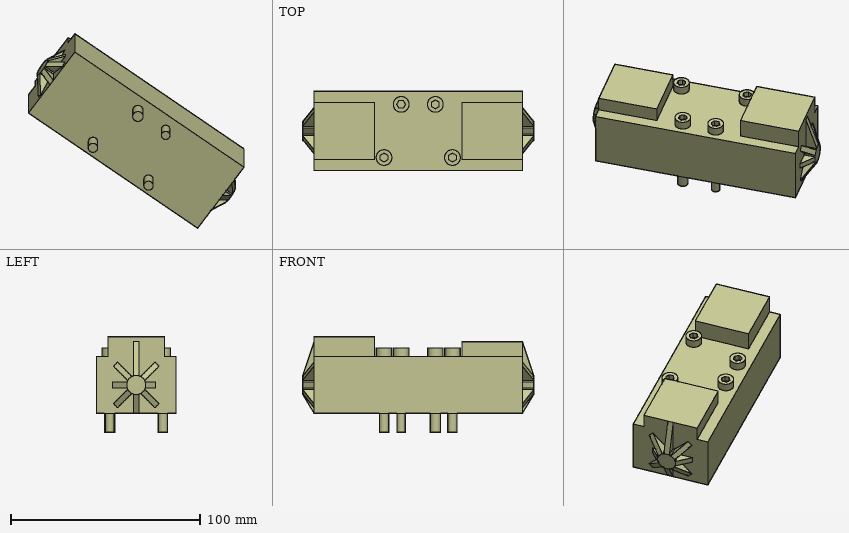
import cadquery as cq
import math

overall_length = 122.0
cap_depth = 6.0
body_length = overall_length - 2 * cap_depth
body_width = 42.0
body_height = 30.0

block_length = 32.0
block_width = 30.0
left_block_height = 10.5
right_block_height = 7.8

hub_diameter = 10.0
hub_height = body_height / 2
rib_width = 3.0
diagonal_reach = 15.5
rib_reaches = {
    0: 12.5,
    45: diagonal_reach,
    90: 22.8,
    135: diagonal_reach,
    180: 10.2,
    225: diagonal_reach,
    270: hub_height,
    315: diagonal_reach,
}

screw_pitch = 9.0
screw_row_offset = 14.0
head_diameter = 8.3
head_height = 4.5
shank_projection = 10.0
socket_depth = 3.0
socket_flats = 4.0
flat_to_corner = 1 / math.cos(math.pi / 6)
screws = [
    (-2 * screw_pitch, -screw_row_offset, 5.0, 90),
    (2 * screw_pitch, -screw_row_offset, 5.0, 90),
    (-screw_pitch, screw_row_offset, 4.5, 0),
    (screw_pitch, screw_row_offset, 5.5, 90),
]


def end_block(side, height):
    """Raised block flush with the body end; side is -1 for -X and 1 for +X."""
    center_x = side * (body_length - block_length) / 2
    return (
        cq.Workplane("XY", origin=(center_x, 0, body_height))
        .rect(block_length, block_width)
        .extrude(height)
    )


def rib(angle, reach):
    """Rib on the -X end, falling from the hub rim to the body end face."""
    end_face_x = -body_length / 2
    hub_face_x = -overall_length / 2
    profile = [
        (end_face_x, 0),
        (hub_face_x, 0),
        (hub_face_x, hub_diameter / 2),
        (end_face_x, reach),
    ]
    return (
        cq.Workplane("XY")
        .polyline(profile)
        .close()
        .extrude(rib_width / 2, both=True)
        .rotate((0, 0, 0), (1, 0, 0), angle)
        .translate((0, 0, hub_height))
    )


def end_cap():
    """Hub and ribs on the -X end."""
    cap = (
        cq.Workplane("YZ", origin=(-overall_length / 2, 0, hub_height))
        .circle(hub_diameter / 2)
        .extrude(cap_depth)
    )
    for angle, reach in rib_reaches.items():
        cap = cap.union(rib(angle, reach))
    return cap


def screw(x, y, shank_diameter, socket_turn):
    """Socket head with a hexagon recess, and the shank end below the body."""
    head = (
        cq.Workplane("XY", origin=(x, y, body_height))
        .circle(head_diameter / 2)
        .extrude(head_height)
    )
    socket = (
        cq.Workplane("XY", origin=(x, y, body_height + head_height))
        .transformed(rotate=(0, 0, socket_turn))
        .polygon(6, socket_flats * flat_to_corner)
        .extrude(-socket_depth)
    )
    shank = (
        cq.Workplane("XY", origin=(x, y, 0))
        .circle(shank_diameter / 2)
        .extrude(-shank_projection)
    )
    return head.cut(socket), shank


body = cq.Workplane("XY").box(body_length, body_width, body_height, centered=(True, True, False))
result = body.union(end_block(-1, left_block_height)).union(end_block(1, right_block_height))

left_cap = end_cap()
result = result.union(left_cap).union(left_cap.mirror("YZ"))

for screw_sizes in screws:
    head, shank = screw(*screw_sizes)
    result = result.union(head).union(shank)